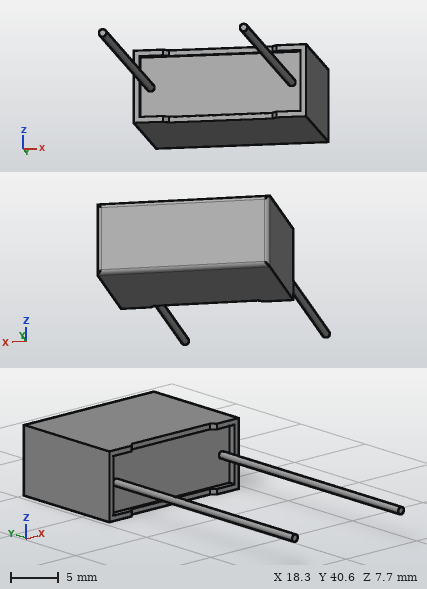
import cadquery as cq

total_length = 40.6
case_width = 18.3
case_height = 7.7
case_depth = 13.6
wall = 0.6
back_fillet = 0.5

notch_mouth_width = 12.05
notch_inner_width = 11.0
notch_depth = 0.5

fill_recess = 0.8
lead_diameter = 0.8
lead_pitch = 15.0
lead_length = total_length - case_depth + fill_recess

cavity_width = case_width - 2 * wall
cavity_height = case_height - 2 * wall
cavity_depth = case_depth - wall


def block(width, height, y_start, y_end):
    """Box centred on X and Z, running from y_start to y_end."""
    return cq.Workplane("XY").box(
        width, y_end - y_start, height, centered=(True, False, True)
    ).translate((0, y_start, 0))


def make_case():
    """Open box with a rounded back and a tapered notch across both broad walls."""
    shell = block(case_width, case_height, 0, case_depth).faces(">Y").edges().fillet(back_fillet)
    cavity = block(cavity_width, cavity_height, 0, cavity_depth)
    notch = (
        cq.Workplane("XY")
        .polyline([
            (-notch_mouth_width / 2, 0),
            (notch_mouth_width / 2, 0),
            (notch_inner_width / 2, notch_depth),
            (-notch_inner_width / 2, notch_depth),
        ])
        .close()
        .extrude(case_height / 2, both=True)
    )
    return shell.cut(cavity).cut(notch)


def make_fill():
    """Potting block that fills the cavity up to its recessed front face."""
    return block(cavity_width, cavity_height, fill_recess, cavity_depth)


def make_lead(x):
    """Round wire running forward from the face of the potting fill."""
    return (
        cq.Workplane("XZ", origin=(x, fill_recess, 0))
        .circle(lead_diameter / 2)
        .extrude(lead_length)
    )


case = make_case()
fill = make_fill()
leads = [make_lead(side * lead_pitch / 2) for side in (-1, 1)]

result = cq.Compound.makeCompound([case.val(), fill.val(), *[lead.val() for lead in leads]])